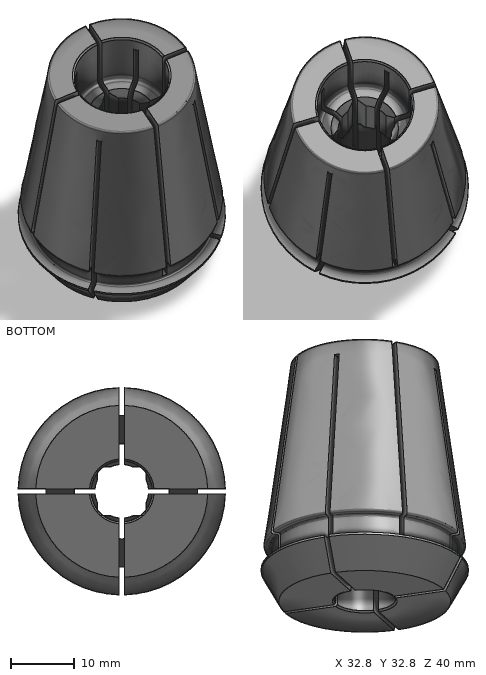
import cadquery as cq
import math

height = 40.0

nose_radius = 13.6
flange_radius = 16.4
flange_bottom = 5.1
flange_top = 5.45
groove_radius = 14.7
groove_fillet = 0.3
taper_bottom = 9.2
taper_angle = math.radians(8)
taper_top_radius = 11.7
taper_bottom_radius = taper_top_radius + (height - taper_bottom) * math.tan(taper_angle)
taper_bottom_fillet = 0.3
taper_top_fillet = 0.3

tool_bore_radius = 4.85
tool_bore_chamfer = 0.3
square_bottom = height / 2
square_width = 7.7
square_relief_radius = 4.25
countersink_radius = 5.3
countersink_depth = countersink_radius - square_relief_radius
upper_bore_radius = 7.5
upper_bore_floor = 30.2
upper_bore_floor_fillet = 0.8
upper_bore_chamfer = 0.3

slit_width = 0.8
lower_slit_top = 37.6
upper_slit_floor = 6.0
slit_overrun = 0.8
slits_per_set = 4
slit_spacing = 360 / slits_per_set


def cylinder(radius, bottom, top):
    """Solid cylinder on the Z axis between two heights."""
    return cq.Workplane("XY").workplane(offset=bottom).circle(radius).extrude(top - bottom)


def cone(bottom_radius, bottom, top_radius, top):
    """Solid truncated cone on the Z axis between two heights."""
    profile = cq.Workplane("XZ").polyline(
        [(0, bottom), (bottom_radius, bottom), (top_radius, top), (0, top)]
    )
    return profile.close().revolve(360, (0, 0, 0), (0, 1, 0))


def make_outer_body():
    """Nose cone and flange, locking groove and clamping taper."""
    nose = cone(nose_radius, 0, flange_radius, flange_bottom)
    flange = cylinder(flange_radius, flange_bottom, flange_top)
    groove = cylinder(groove_radius, flange_top, taper_bottom)
    taper = cone(taper_bottom_radius, taper_bottom, taper_top_radius, height)
    taper = taper.faces("<Z").edges().fillet(taper_bottom_fillet)
    taper = taper.faces(">Z").edges().fillet(taper_top_fillet)
    body = nose.union(flange).union(groove).union(taper)
    groove_corners = body.edges("%CIRCLE").filter(
        lambda edge: math.isclose(edge.radius(), groove_radius, abs_tol=0.005)
    )
    return groove_corners.fillet(groove_fillet)


def make_tool_bore():
    """Round bore for the tool shank, chamfered at its mouth."""
    bore = cylinder(tool_bore_radius, 0, square_bottom)
    mouth = cone(tool_bore_radius + tool_bore_chamfer, 0, tool_bore_radius, tool_bore_chamfer)
    return bore.union(mouth)


def make_square_drive():
    """Square hole with a round relief in its flats, countersunk from above."""
    square = (
        cq.Workplane("XY")
        .workplane(offset=square_bottom)
        .rect(square_width, square_width)
        .extrude(upper_bore_floor - square_bottom)
    )
    relief = cylinder(square_relief_radius, square_bottom, upper_bore_floor)
    countersink = cone(
        square_relief_radius, upper_bore_floor - countersink_depth, countersink_radius, upper_bore_floor
    )
    return square.union(relief).union(countersink)


def make_upper_bore():
    """Wide bore open at the top, with a rounded floor and a chamfered mouth."""
    bore = cylinder(upper_bore_radius, upper_bore_floor, height)
    bore = bore.faces("<Z").edges().fillet(upper_bore_floor_fillet)
    mouth = cone(
        upper_bore_radius, height - upper_bore_chamfer, upper_bore_radius + upper_bore_chamfer, height
    )
    return bore.union(mouth)


def make_slits(bottom, top, start_angle):
    """Set of evenly spaced radial slits between two heights."""
    reach = flange_radius + slit_overrun
    slit = cq.Workplane("XY").box(reach, slit_width, top - bottom, centered=(False, True, False))
    slit = slit.translate((0, 0, bottom))
    slits = cq.Workplane("XY")
    for index in range(slits_per_set):
        angle = start_angle + index * slit_spacing
        slits = slits.union(slit.rotate((0, 0, 0), (0, 0, 1), angle))
    return slits


result = (
    make_outer_body()
    .cut(make_tool_bore())
    .cut(make_square_drive())
    .cut(make_upper_bore())
    .cut(make_slits(0, lower_slit_top, 0))
    .cut(make_slits(upper_slit_floor, height, slit_spacing / 2))
)